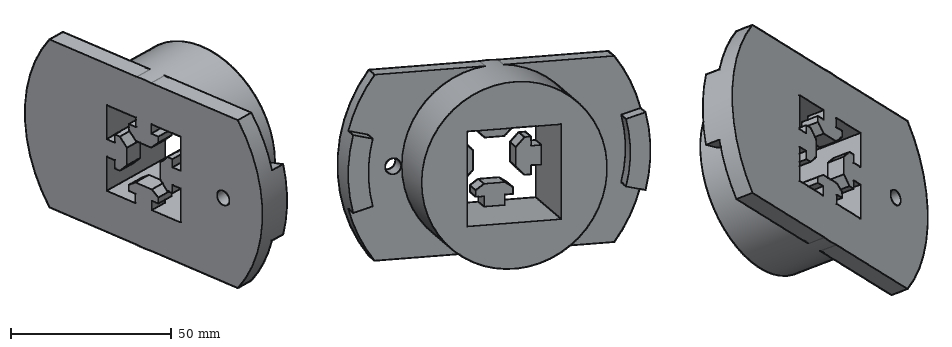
import cadquery as cq
import math

flange_diameter = 98.6
boss_diameter = 60.5
flange_height = 60.2
flange_thickness = 6.4
total_depth = 27.8

tab_half_angle = 14.8
tab_radial_length = 6.6
tab_height = 5.3

opening_side = 30.7
key_depth = flange_thickness
neck_length = 3.4
neck_width = 6.3
head_width = 12.2
head_straight_length = 2.2
key_length = 8.4

bottom_key_length = 7.4
bottom_neck_width = 6.8

pin_hole_diameter = 5.1
pin_hole_x = 33.0


def front_plane(depth=0.0):
    """XZ sketch plane at the given Y, facing -Y, so negative extrusions run toward +Y."""
    return cq.Workplane(cq.Plane(origin=(0, depth, 0), xDir=(1, 0, 0), normal=(0, -1, 0)))


def flange():
    disc = front_plane().circle(flange_diameter / 2).extrude(-flange_thickness)
    trim = front_plane().rect(flange_diameter, flange_height).extrude(-flange_thickness)
    return disc.intersect(trim)


def boss():
    return front_plane().circle(boss_diameter / 2).extrude(-total_depth)


def tabs():
    outer_radius = flange_diameter / 2
    inner_radius = outer_radius - tab_radial_length
    ring = front_plane(flange_thickness).circle(outer_radius).circle(inner_radius).extrude(-tab_height)
    reach = flange_diameter
    half_spread = reach * math.tan(math.radians(tab_half_angle))
    sectors = cq.Workplane()
    for side in (-1, 1):
        triangle = [(0, 0), (side * reach, half_spread), (side * reach, -half_spread)]
        wedge = front_plane(flange_thickness).polyline(triangle).close().extrude(-tab_height)
        sectors = sectors.add(ring.intersect(wedge))
    return sectors


def key(angle, length, stem_width):
    """T-shaped key on the top wall of the opening, turned about Y by angle."""
    wall = opening_side / 2
    shoulder = wall - neck_length
    taper_start = shoulder - head_straight_length
    half_stem = stem_width / 2
    half_head = head_width / 2
    profile = [
        (half_stem, wall),
        (half_stem, shoulder),
        (half_head, shoulder),
        (half_head, taper_start),
        (half_stem, wall - length),
    ]
    mirrored = [(-x, z) for x, z in reversed(profile)]
    solid = front_plane().polyline(profile + mirrored).close().extrude(-key_depth)
    return solid.rotate((0, 0, 0), (0, 1, 0), angle)


opening = front_plane().rect(opening_side, opening_side).extrude(-total_depth)
pin_hole = front_plane().center(pin_hole_x, 0).circle(pin_hole_diameter / 2).extrude(-flange_thickness)

result = flange().union(boss()).cut(opening).cut(pin_hole)
for tab in tabs().vals():
    result = result.union(cq.Workplane(tab))
for side_angle in (-90, 0, 90):
    result = result.union(key(side_angle, key_length, neck_width))
result = result.union(key(180, bottom_key_length, bottom_neck_width))